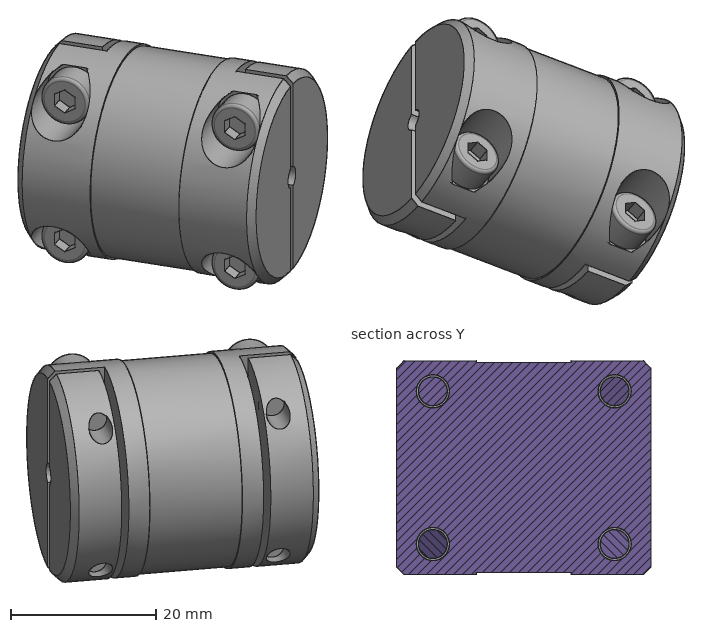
import cadquery as cq
import math


length = 35.0
outer_diameter = 30.0
waist_diameter = 29.5
waist_length = 13.02
end_chamfer = 1.0
bore_diameter = 3.0

gap = 1.0
cap_width = 7.0
seat_width = cap_width + gap

screw_from_end = 5.0
screw_x = length / 2 - screw_from_end
screw_z = 10.5
head_diameter = 7.0
head_height = 4.0
head_fillet = 0.5
shank_diameter = 4.0
shank_length = 12.0
socket_across_flats = 3.0
socket_depth = 2.0

head_seat_y = -5.0
shank_tip_y = head_seat_y + shank_length
counterbore_diameter = 8.0
clearance_diameter = 4.5
cap_hole_diameter = 3.3

ends = (-1, 1)
screw_places = [(end * screw_x, side * screw_z) for end in ends for side in (-1, 1)]


def cylinder_along_y(x, z, diameter, y_start, y_end):
    """Cylinder parallel to Y between two Y positions."""
    return (
        cq.Workplane("XZ", origin=(x, y_start, z))
        .circle(diameter / 2)
        .extrude(y_start - y_end)
    )


def make_blank():
    """Full round coupling with chamfered ends and a through bore."""
    return (
        cq.Workplane("YZ", origin=(-length / 2, 0, 0))
        .circle(outer_diameter / 2)
        .extrude(length)
        .faces("<X or >X")
        .chamfer(end_chamfer)
        .faces("<X")
        .workplane()
        .hole(bore_diameter)
    )


def half_space_block(end, width, y_start):
    """Block at one end of the coupling, reaching inward by width and covering all Y above y_start."""
    return cq.Workplane("XY").box(width, outer_diameter, outer_diameter).translate(
        (end * (length - width) / 2, y_start + outer_diameter / 2, 0)
    )


def make_waist_cutter():
    """Thin ring that reduces the middle of the body to the waist diameter."""
    return (
        cq.Workplane("YZ", origin=(-waist_length / 2, 0, 0))
        .circle(outer_diameter)
        .circle(waist_diameter / 2)
        .extrude(waist_length)
    )


def make_body():
    """Main body: stepped at both ends, with counterbored clearance holes for the screws."""
    body = make_blank().cut(make_waist_cutter())
    for end in ends:
        body = body.cut(half_space_block(end, seat_width, -gap / 2))
    for x, z in screw_places:
        body = body.cut(cylinder_along_y(x, z, counterbore_diameter, -outer_diameter, head_seat_y))
        body = body.cut(cylinder_along_y(x, z, clearance_diameter, head_seat_y, 0))
    return body


def make_cap(end):
    """Half-round clamp cap with holes that grip the screw shanks and continue narrower to the outside."""
    cap = make_blank().intersect(half_space_block(end, cap_width, gap / 2))
    for side in (-1, 1):
        x = end * screw_x
        z = side * screw_z
        cap = cap.cut(cylinder_along_y(x, z, shank_diameter, 0, shank_tip_y))
        cap = cap.cut(cylinder_along_y(x, z, cap_hole_diameter, 0, outer_diameter))
    return cap


def make_screw(x, z):
    """Socket head screw with a rounded head rim and a hexagonal socket."""
    head_top_y = head_seat_y - head_height
    socket_across_corners = socket_across_flats / math.cos(math.pi / 6)
    head = cylinder_along_y(x, z, head_diameter, head_top_y, head_seat_y)
    head = head.faces("<Y").edges().fillet(head_fillet)
    shank = cylinder_along_y(x, z, shank_diameter, head_seat_y, shank_tip_y)
    socket = (
        cq.Workplane("XZ", origin=(x, head_top_y, z))
        .transformed(rotate=(0, 0, 90))
        .polygon(6, socket_across_corners)
        .extrude(-socket_depth)
    )
    return head.union(shank).cut(socket)


body = make_body()
caps = [make_cap(end) for end in ends]
screws = [make_screw(x, z) for x, z in screw_places]

result = cq.Compound.makeCompound(
    [
        body.val(),
        *[cap.val() for cap in caps],
        *[screw.val() for screw in screws],
    ]
)